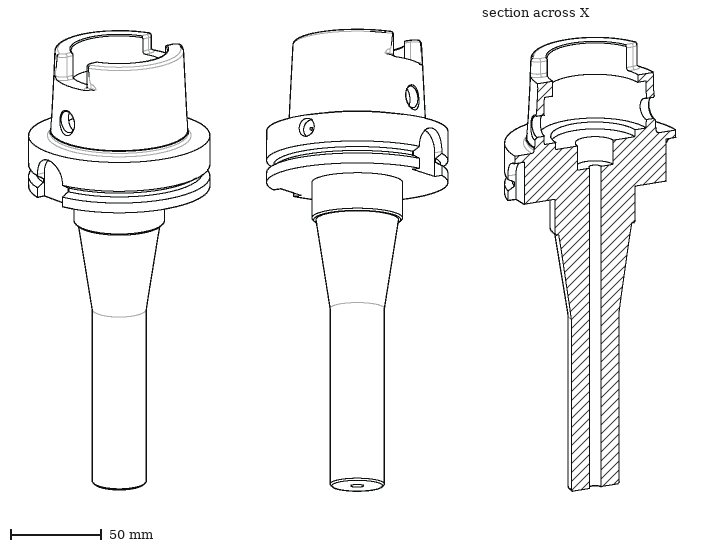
import cadquery as cq
import math


taper_height = 49.9
taper_gauge_radius = 37.5
taper_gauge_z = 8.0
taper_slope = 0.05
rim_fillet = 1.5
relief_height = 3.0
relief_step = 0.3
relief_fillet = 1.5

bore_radius = 26.5
bore_chamfer = 0.7
clamp_edge_z = 31.0
clamp_radius = 31.5
clamp_floor_z = 4.0
register_radius = 24.5
register_depth = 4.0
tube_radius = 11.0
tube_depth = 14.0
coolant_radius = 3.5

flange_radius = 50.0
flange_height = 29.0
groove_center_z = -20.0
groove_width = 6.8
groove_depth = 4.0
groove_half_angle = 30.0

shank_length = 200.0
collar_radius = 25.0
collar_end_z = -50.0
collar_chamfer = 1.0
neck_top_radius = 22.8
neck_end_z = -100.0
stem_radius = 15.0
stem_chamfer = 1.0

keyway_half_width = 10.0
keyway_corner_radius = 4.0
keyway_floor_fillet = 1.5
keyway_flare_z = 39.5
front_keyway_depth = 14.4
back_keyway_depth = 10.0

slot_floor_distance = 44.0
slot_top_z = -4.6
front_slot_half_width = 11.0
back_slot_half_width = 10.0

cross_hole_radius = 6.0
cross_hole_z = 14.8
cross_sink_radius = 7.0
chip_hole_radius = 5.0
chip_hole_z = -7.0
chip_hole_depth = 4.6
chip_pilot_radius = 0.8
chip_pilot_depth = 2.0

margin = 10.0
sink_overshoot = 1.0


def taper_radius(z):
    """Radius of the taper at height z."""
    return taper_gauge_radius - taper_slope * (z - taper_gauge_z)


def body():
    """Solid of revolution for the taper, flange and shank."""
    band_radius = taper_radius(relief_height) + relief_step
    groove_run = groove_depth * math.tan(math.radians(groove_half_angle))
    groove_top = groove_center_z + groove_width / 2
    groove_bottom = groove_center_z - groove_width / 2
    groove_radius = flange_radius - groove_depth
    round_drop = relief_fillet * (1 - math.sqrt(0.5))
    return (
        cq.Workplane("XZ")
        .moveTo(0, taper_height)
        .lineTo(taper_radius(taper_height), taper_height)
        .lineTo(taper_radius(relief_height), relief_height)
        .lineTo(band_radius, relief_height - relief_step)
        .lineTo(band_radius, relief_fillet)
        .threePointArc((band_radius + round_drop, round_drop), (band_radius + relief_fillet, 0))
        .lineTo(flange_radius, 0)
        .lineTo(flange_radius, groove_top)
        .lineTo(groove_radius, groove_top - groove_run)
        .lineTo(groove_radius, groove_bottom + groove_run)
        .lineTo(flange_radius, groove_bottom)
        .lineTo(flange_radius, -flange_height)
        .lineTo(collar_radius, -flange_height)
        .lineTo(collar_radius, collar_end_z + collar_chamfer)
        .lineTo(collar_radius - collar_chamfer, collar_end_z)
        .lineTo(neck_top_radius, collar_end_z)
        .lineTo(stem_radius, neck_end_z)
        .lineTo(stem_radius, -shank_length + stem_chamfer)
        .lineTo(stem_radius - stem_chamfer, -shank_length)
        .lineTo(0, -shank_length)
        .close()
        .revolve(360, (0, 0, 0), (0, 1, 0))
    )


def bore():
    """Stepped bore with its undercut clamping chamber and the coolant passage."""
    register_floor_z = clamp_floor_z - register_depth
    tube_floor_z = register_floor_z - tube_depth
    return (
        cq.Workplane("XZ")
        .moveTo(0, taper_height)
        .lineTo(bore_radius + bore_chamfer, taper_height)
        .lineTo(bore_radius, taper_height - bore_chamfer)
        .lineTo(bore_radius, clamp_edge_z)
        .lineTo(clamp_radius, clamp_edge_z)
        .lineTo(clamp_radius, clamp_floor_z)
        .lineTo(register_radius, clamp_floor_z)
        .lineTo(register_radius, register_floor_z)
        .lineTo(tube_radius, register_floor_z)
        .lineTo(tube_radius, tube_floor_z)
        .lineTo(coolant_radius, tube_floor_z)
        .lineTo(coolant_radius, -shank_length)
        .lineTo(0, -shank_length)
        .close()
        .revolve(360, (0, 0, 0), (0, 1, 0))
    )


def keyway(depth, side):
    """Rim keyway with flared walls and rounded floor corners; side is +1 or -1 along Y.

    Each wall ends in an arc tangent to the taper at the flare height, then leaves along that tangent.
    """
    flare_radius = taper_radius(keyway_flare_z)
    center_distance = flare_radius - keyway_corner_radius
    center_x = keyway_half_width + keyway_corner_radius
    flare_angle = math.acos(center_x / center_distance)
    center_y = center_distance * math.sin(flare_angle)
    middle_angle = (flare_angle + math.pi) / 2
    middle_x = center_x + keyway_corner_radius * math.cos(middle_angle)
    middle_y = center_y + keyway_corner_radius * math.sin(middle_angle)
    tangent_x = flare_radius * math.cos(flare_angle)
    tangent_y = flare_radius * math.sin(flare_angle)
    end_x = tangent_x + margin * math.sin(flare_angle)
    end_y = tangent_y - margin * math.cos(flare_angle)
    outer_y = flare_radius + margin
    cutter = (
        cq.Workplane("XY", origin=(0, 0, taper_height - depth))
        .moveTo(-keyway_half_width, 0)
        .lineTo(keyway_half_width, 0)
        .lineTo(keyway_half_width, center_y)
        .threePointArc((middle_x, middle_y), (tangent_x, tangent_y))
        .lineTo(end_x, end_y)
        .lineTo(end_x, outer_y)
        .lineTo(-end_x, outer_y)
        .lineTo(-end_x, end_y)
        .lineTo(-tangent_x, tangent_y)
        .threePointArc((-middle_x, middle_y), (-keyway_half_width, center_y))
        .close()
        .extrude(depth + margin)
        .faces("<Z").edges().fillet(keyway_floor_fillet)
    )
    return cutter if side > 0 else cutter.mirror("XZ")


def rim_with_keyways(blank):
    """Cut both keyways and round the rim around the two drive lugs."""
    rim = blank.cut(keyway(front_keyway_depth, -1)).cut(keyway(back_keyway_depth, 1))
    return rim.faces(">Z").edges().fillet(rim_fillet)


def flange_slot(half_width, side):
    """Round-topped slot open to the underside of the flange; side is +1 or -1 along Y."""
    spring_z = slot_top_z - half_width
    cutter = (
        cq.Workplane("XZ", origin=(0, slot_floor_distance, 0))
        .moveTo(-half_width, -flange_height)
        .lineTo(half_width, -flange_height)
        .lineTo(half_width, spring_z)
        .threePointArc((0, slot_top_z), (-half_width, spring_z))
        .close()
        .extrude(-margin)
    )
    return cutter if side > 0 else cutter.mirror("XZ")


def cross_hole():
    """Hole along Y through both walls of the taper, with a 45 degree countersink on each side."""
    wall = taper_radius(cross_hole_z)
    sink_depth = cross_sink_radius - cross_hole_radius
    return (
        cq.Workplane("XY", origin=(0, 0, cross_hole_z))
        .moveTo(0, -wall - sink_overshoot)
        .lineTo(cross_sink_radius + sink_overshoot, -wall - sink_overshoot)
        .lineTo(cross_hole_radius, -wall + sink_depth)
        .lineTo(cross_hole_radius, wall - sink_depth)
        .lineTo(cross_sink_radius + sink_overshoot, wall + sink_overshoot)
        .lineTo(0, wall + sink_overshoot)
        .close()
        .revolve(360, (0, 0, 0), (0, 1, 0))
    )


def chip_hole():
    """Blind data-chip hole with a small pilot in its floor, in the -X side of the flange."""
    start = cq.Workplane("YZ", origin=(-flange_radius, 0, chip_hole_z))
    pilot = start.circle(chip_pilot_radius).extrude(chip_hole_depth + chip_pilot_depth)
    return start.circle(chip_hole_radius).extrude(chip_hole_depth).union(pilot)


result = (
    rim_with_keyways(body())
    .cut(bore())
    .cut(flange_slot(front_slot_half_width, -1))
    .cut(flange_slot(back_slot_half_width, 1))
    .cut(cross_hole())
    .cut(chip_hole())
)